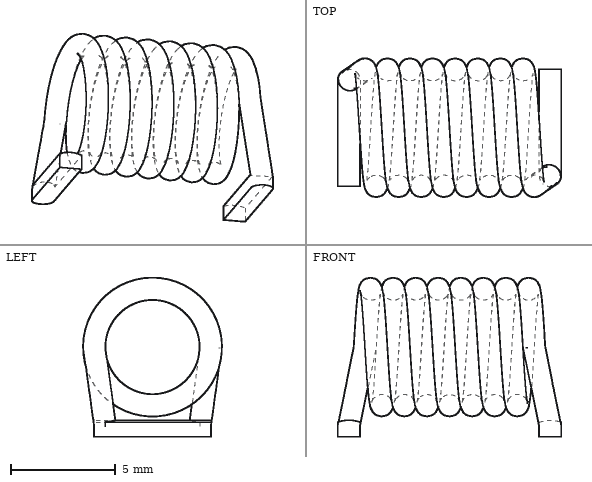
import cadquery as cq
import math

overall_length = 10.72
overall_height = 7.64
coil_outer_diameter = 6.67
wire_diameter = 1.07
coil_pitch = 1.08
coil_turns = 7.5
foot_width = 1.07
foot_span = 5.62
foot_side_height = 0.71
foot_crown = 0.1
heel_height = 0.53

wire_radius = wire_diameter / 2
coil_radius = coil_outer_diameter / 2 - wire_radius
coil_length = coil_pitch * coil_turns
coil_start = cq.Vector(-coil_length / 2, coil_radius, 0)
start_tangent = cq.Vector(coil_pitch, 0, 2 * math.pi * coil_radius)
heel_radius = foot_width / 2
heel_x = -overall_length / 2 + heel_radius
heel_y = foot_span / 2 - heel_radius
foot_end_y = -foot_span / 2
foot_bottom = coil_outer_diameter / 2 - overall_height


def make_coil():
    """Right-handed round-wire coil running from +Y at the -X end to -Y at the +X end."""
    path = cq.Wire.makeHelix(coil_pitch, coil_length, coil_radius)
    section_plane = cq.Plane(
        origin=(coil_radius, 0, 0),
        xDir=(1, 0, 0),
        normal=(0, 2 * math.pi * coil_radius, coil_pitch),
    )
    upright = cq.Workplane(section_plane).circle(wire_radius).sweep(cq.Workplane(path), isFrenet=True)
    turned = upright.rotate((0, 0, 0), (1, 1, 1), 120)
    return turned.translate((-coil_length / 2, 0, 0))


def make_leg():
    """Slanted round leg from the -X coil end down to the heel of its foot."""
    heel_top = cq.Vector(heel_x, heel_y, foot_bottom + heel_height)
    upper = cq.Wire.makeCircle(wire_radius, coil_start, start_tangent)
    lower = cq.Wire.makeCircle(heel_radius, heel_top, cq.Vector(0, 0, 1))
    return cq.Workplane(cq.Solid.makeLoft([upper, lower], True))


def make_foot():
    """Flat-bottomed foot with an arched top and a round heel under the leg."""
    bar = (
        cq.Workplane("XZ", origin=(heel_x, heel_y, foot_bottom))
        .moveTo(-foot_width / 2, 0)
        .lineTo(foot_width / 2, 0)
        .lineTo(foot_width / 2, foot_side_height)
        .threePointArc((0, foot_side_height + foot_crown), (-foot_width / 2, foot_side_height))
        .close()
        .extrude(heel_y - foot_end_y)
    )
    heel = (
        cq.Workplane("XY", origin=(heel_x, heel_y, foot_bottom))
        .circle(heel_radius)
        .extrude(heel_height)
    )
    return bar.union(heel)


terminal = make_foot().union(make_leg())
opposite_terminal = terminal.rotate((0, 0, 0), (0, 0, 1), 180)
result = make_coil().union(terminal).union(opposite_terminal)